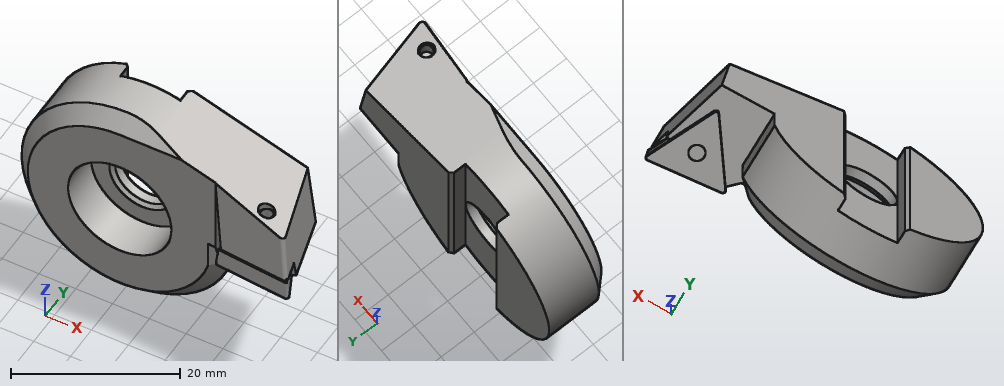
import cadquery as cq
import math



def tan(angle):
    return math.tan(math.radians(angle))


def cos(angle):
    return math.cos(math.radians(angle))


def sin(angle):
    return math.sin(math.radians(angle))


total_length = 38.97
total_depth = 12.5

hub_diameter = 28.95
hub_radius = hub_diameter / 2
hub_thickness = 9.5
hub_chamfer = 2.0
flat_x = 14.0

bore_radius = 4.0
bore_chamfer = 0.5
counterbore_radius = 7.0
counterbore_depth = 5.45

slot_width = 8.1
slot_depth = 2.2
slot_chamfer = 0.45

arm_slope = 18.0
arm_side_x = 12.98
arm_side_angle = 45.0
arm_bottom_z = 0.1
arm_end_x = 21.25
arm_end_lean = 15.0
arm_end_relief = 7.0
arm_front_relief = 10.0
arm_corner_radius = 0.5
arm_front_step = 0.08

insert_side = 11.0
insert_thickness = 2.5
insert_rim_chamfer = 0.08
insert_nose_radius = 0.4
insert_relief = 7.0
insert_lead = 5.0
insert_bottom_z = -0.3
rim_trim = insert_rim_chamfer * sin(insert_relief)
insert_tip_x = total_length - hub_radius + rim_trim
insert_tip_y = hub_thickness - total_depth - rim_trim
insert_top_z = insert_bottom_z + insert_thickness
nose_pitch = insert_side - 2 * insert_nose_radius * math.sqrt(3)
end_clearance_length = 3.2

screw_radius = 1.0
screw_x = 19.52
screw_y = 0.78
screw_top_z = 8.38
screw_chamfer = 0.2
socket_depth = 2.35

margin = 3.9
reach = 38.97


def insert_noses():
    """Plan centres of the three nose radii: cutting tip, inner corner, apex."""
    tip = (insert_tip_x - insert_nose_radius, insert_tip_y + insert_nose_radius)
    inner = (tip[0] - nose_pitch * cos(insert_lead), tip[1] + nose_pitch * sin(insert_lead))
    apex_angle = 60 - insert_lead
    apex = (inner[0] + nose_pitch * cos(apex_angle), inner[1] + nose_pitch * sin(apex_angle))
    return tip, inner, apex


def half_space(origin, normal):
    """Large block on the side of a plane that its normal points to."""
    return cq.Workplane(cq.Plane(origin, normal=normal)).rect(2 * reach, 2 * reach).extrude(reach)




def hub_and_arm_outline():
    """Hub circle with the flat on its right and the sloped arm, from front face to back face."""
    flat_z = -math.sqrt(hub_radius**2 - flat_x**2)
    tangent_point = (hub_radius * sin(arm_slope), hub_radius * cos(arm_slope))
    arm_far_x = insert_tip_x + margin
    arm_far_z = tangent_point[1] - (arm_far_x - tangent_point[0]) * tan(arm_slope)
    return (
        cq.Workplane("XZ")
        .moveTo(flat_x, arm_bottom_z)
        .lineTo(flat_x, flat_z)
        .threePointArc((-hub_radius, 0), tangent_point)
        .lineTo(arm_far_x, arm_far_z)
        .lineTo(arm_far_x, arm_bottom_z)
        .close()
    )


def arm_front_block():
    """Part of the arm that stands in front of the hub, bounded by its inner side and front face."""
    depth = -insert_tip_y + margin
    arm_far_x = insert_tip_x + margin
    block = (
        cq.Workplane("XY", origin=(0, 0, arm_bottom_z))
        .moveTo(arm_side_x, 0)
        .lineTo(arm_side_x + depth / tan(arm_side_angle), -depth)
        .lineTo(arm_far_x, -depth)
        .lineTo(arm_far_x, 0)
        .close()
        .extrude(hub_radius)
    )
    top_point = (hub_radius * sin(arm_slope), 0, hub_radius * cos(arm_slope))
    above_arm = half_space(top_point, (sin(arm_slope), 0, cos(arm_slope)))
    corner_x = arm_side_x + arm_front_step / tan(arm_side_angle)
    corner_z = (hub_radius - corner_x * sin(arm_slope)) / cos(arm_slope)
    before_front = half_space(
        (corner_x, -arm_front_step, corner_z),
        (
            -sin(insert_lead) * cos(arm_front_relief),
            -cos(insert_lead) * cos(arm_front_relief),
            sin(arm_front_relief),
        ),
    )
    return block.cut(above_arm).cut(before_front)


def beyond_arm_end():
    return half_space(
        (arm_end_x, hub_thickness, 0),
        (
            cos(arm_end_lean) * cos(arm_end_relief),
            sin(arm_end_lean) * cos(arm_end_relief),
            sin(arm_end_relief),
        ),
    )


def hub_chamfer_tools():
    """Front chamfer: a cone round the hub, straight above the arm's root and along the flat."""
    ring = cq.Workplane("XZ").circle(hub_radius + margin).extrude(-hub_chamfer)
    cone = cq.Workplane(
        cq.Solid.makeCone(
            hub_radius - hub_chamfer, hub_radius, hub_chamfer, cq.Vector(0, 0, 0), cq.Vector(0, 1, 0)
        )
    )
    arm_quadrant = cq.Workplane("XY").box(reach, reach, reach, centered=(False, True, False))
    ring = ring.cut(cone).cut(arm_quadrant)
    top_wedge = (
        cq.Workplane("YZ")
        .moveTo(0, hub_radius - hub_chamfer)
        .lineTo(hub_chamfer, hub_radius)
        .lineTo(0, hub_radius)
        .close()
        .extrude(arm_side_x)
    )
    flat_wedge = (
        cq.Workplane("XY", origin=(0, 0, arm_bottom_z))
        .moveTo(flat_x - hub_chamfer, 0)
        .lineTo(flat_x, hub_chamfer)
        .lineTo(flat_x, 0)
        .close()
        .extrude(-hub_radius)
    )
    return ring, top_wedge, flat_wedge


def stepped_bore():
    """Counterbore from the front, a chamfer at its floor and the through bore."""
    profile = [
        (0, 0),
        (counterbore_radius, 0),
        (counterbore_radius, counterbore_depth),
        (bore_radius + bore_chamfer, counterbore_depth),
        (bore_radius, counterbore_depth + bore_chamfer),
        (bore_radius, hub_thickness),
        (0, hub_thickness),
    ]
    return cq.Workplane("XY").polyline(profile).close().revolve(360, (0, 0, 0), (0, 1, 0))


def driving_slot():
    """Slot with chamfered mouth, right across the back face along Z."""
    half = slot_width / 2
    floor_y = hub_thickness - slot_depth
    profile = [
        (-half, floor_y),
        (half, floor_y),
        (half, hub_thickness - slot_chamfer),
        (half + slot_chamfer, hub_thickness),
        (-half - slot_chamfer, hub_thickness),
        (-half, hub_thickness - slot_chamfer),
    ]
    return cq.Workplane("XY").polyline(profile).close().extrude(hub_radius, both=True)


def insert_clearance():
    """Open sides of the insert pocket: ahead of the cutting edge and beside the tip."""
    tip = insert_noses()[0]
    ahead = (
        cq.Workplane("XY")
        .center(*tip)
        .transformed(rotate=(0, 0, -insert_lead))
        .center(0, -margin / 2)
        .rect(2 * insert_side, margin)
        .extrude(insert_top_z)
    )
    beside = (
        cq.Workplane("XY")
        .center(*tip)
        .transformed(rotate=(0, 0, -insert_lead - 60))
        .center((margin - end_clearance_length) / 2, margin / 2)
        .rect(margin + end_clearance_length, margin)
        .extrude(insert_top_z)
    )
    return ahead, beside


def make_housing(insert, screw_hole):
    body = hub_and_arm_outline().extrude(-hub_thickness)
    body = body.union(arm_front_block()).cut(beyond_arm_end())
    near_corner = (insert_tip_x, insert_tip_y, hub_radius / 3)
    body = body.edges(cq.selectors.NearestToPointSelector(near_corner)).fillet(arm_corner_radius)
    for tool in (*hub_chamfer_tools(), stepped_bore(), driving_slot(), *insert_clearance()):
        body = body.cut(tool)
    return body.cut(insert).cut(screw_hole)




def make_insert_blank():
    """Rounded triangle that narrows upwards, so its lower rim is the cutting edge."""
    tip, inner, apex = insert_noses()
    centre = ((tip[0] + inner[0] + apex[0]) / 3, (tip[1] + inner[1] + apex[1]) / 3)
    return (
        cq.Workplane("XY", origin=(*centre, insert_bottom_z))
        .transformed(rotate=(0, 0, 90 - insert_lead))
        .polygon(3, 2 * nose_pitch / math.sqrt(3))
        .offset2D(insert_nose_radius)
        .extrude(insert_thickness, taper=insert_relief)
        .faces("<Z or >Z")
        .chamfer(insert_rim_chamfer)
    )




def make_screw_hole():
    return (
        cq.Workplane("XY", origin=(screw_x, screw_y, insert_bottom_z))
        .circle(screw_radius)
        .extrude(hub_radius)
    )


def make_screw():
    """Plain screw body with a chamfered, socketed upper end."""
    socket_radius = screw_radius - screw_chamfer
    length = screw_top_z - insert_bottom_z
    profile = [
        (0, 0),
        (screw_radius, 0),
        (screw_radius, length - screw_chamfer),
        (socket_radius, length),
        (socket_radius, length - socket_depth),
        (0, length - socket_depth),
    ]
    return (
        cq.Workplane("XZ", origin=(screw_x, screw_y, insert_bottom_z))
        .polyline(profile)
        .close()
        .revolve(360, (0, 0, 0), (0, 1, 0))
    )


screw_hole = make_screw_hole()
insert_blank = make_insert_blank()
housing = make_housing(insert_blank, screw_hole)
insert = insert_blank.cut(screw_hole)
screw = make_screw()

result = cq.Compound.makeCompound([housing.val(), insert.val(), screw.val()])